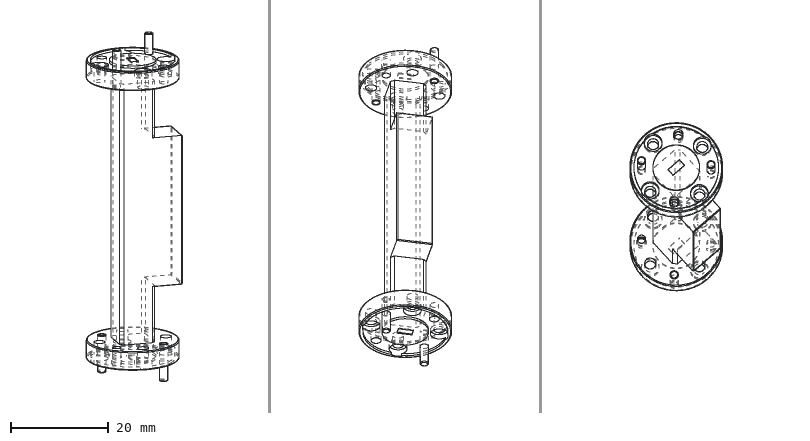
import cadquery as cq
import math

OVERALL_HEIGHT = 71.25
PIN_PROJECTION = 3.9
FLANGE_THICKNESS = 4.0
FLANGE_OUTER_Z = OVERALL_HEIGHT / 2 - PIN_PROJECTION
FLANGE_INNER_Z = FLANGE_OUTER_Z - FLANGE_THICKNESS

FLANGE_DIAMETER = 19.0
FLANGE_CHAMFER = 0.2
RIM_INNER_DIAMETER = 17.3
BOSS_DIAMETER = 9.55
FACE_RECESS_DEPTH = 0.5

HOLE_CIRCLE_RADIUS = 7.1
SCREW_HOLE_DIAMETER = 2.3
COUNTERBORE_DIAMETER = 3.6
COUNTERBORE_DEPTH = 1.6
SCREW_ANGLES = (0, 90, 180, 270)
SOCKET_DIAMETER = 2.0
SOCKET_DEPTH = FLANGE_THICKNESS / 2

PIN_DIAMETER = 1.7
PIN_CHAMFER = 0.18
PIN_LENGTH = PIN_PROJECTION + FLANGE_THICKNESS
TOP_PIN_ANGLES = (135, 315)
BOTTOM_PIN_ANGLES = (45, 225)

TUBE_WIDTH = 7.5
TUBE_CHAMFER = 0.7
BLOCK_HEIGHT = 31.6
BLOCK_REACH = FLANGE_DIAMETER / 2
BLOCK_CHAMFER = 0.18

OPENING_LENGTH = 3.1
OPENING_WIDTH = 1.6
OPENING_DEPTH = 0.2


def circle_points(angles):
    """Points on the hole circle at the given angles in degrees."""
    return [
        (
            HOLE_CIRCLE_RADIUS * math.cos(math.radians(angle)),
            HOLE_CIRCLE_RADIUS * math.sin(math.radians(angle)),
        )
        for angle in angles
    ]


def flipped(shape):
    """Mirror a shape from the top end to the bottom end."""
    return shape.mirror("XY")


def make_tube():
    """Square tube with chamfered corners, reaching from flange to flange."""
    return (
        cq.Workplane("XY")
        .box(TUBE_WIDTH, TUBE_WIDTH, 2 * FLANGE_INNER_Z)
        .edges("|Z")
        .chamfer(TUBE_CHAMFER)
    )


def make_block():
    """Block as wide as the tube, standing out at mid-height, with its +Y face chamfered."""
    return (
        cq.Workplane("XY")
        .box(TUBE_WIDTH, BLOCK_REACH, BLOCK_HEIGHT, centered=(True, False, True))
        .faces(">Y")
        .chamfer(BLOCK_CHAMFER)
    )


def cylinders(angles, diameter, bottom_z, height):
    """Equal upright cylinders on the hole circle."""
    return (
        cq.Workplane("XY")
        .workplane(offset=bottom_z)
        .pushPoints(circle_points(angles))
        .circle(diameter / 2)
        .extrude(height)
    )


def make_top_flange(pin_angles, socket_angles):
    """Round flange at the top end, with its face details and holes."""
    flange = (
        cq.Workplane("XY")
        .workplane(offset=FLANGE_INNER_Z)
        .circle(FLANGE_DIAMETER / 2)
        .extrude(FLANGE_THICKNESS)
        .edges("%CIRCLE")
        .chamfer(FLANGE_CHAMFER)
    )
    face_recess = (
        cq.Workplane("XY")
        .workplane(offset=FLANGE_OUTER_Z - FACE_RECESS_DEPTH)
        .circle(RIM_INNER_DIAMETER / 2)
        .circle(BOSS_DIAMETER / 2)
        .extrude(FACE_RECESS_DEPTH)
    )
    opening = (
        cq.Workplane("XY")
        .workplane(offset=FLANGE_OUTER_Z - OPENING_DEPTH)
        .rect(OPENING_LENGTH, OPENING_WIDTH)
        .extrude(OPENING_DEPTH)
    )
    counterbores = cylinders(
        SCREW_ANGLES, COUNTERBORE_DIAMETER, FLANGE_OUTER_Z - COUNTERBORE_DEPTH, COUNTERBORE_DEPTH
    )
    sockets = cylinders(
        socket_angles, SOCKET_DIAMETER, FLANGE_OUTER_Z - SOCKET_DEPTH, SOCKET_DEPTH
    )
    flange = flange.cut(face_recess).cut(opening).cut(counterbores).cut(sockets)
    for angles, diameter in (
        (SCREW_ANGLES, SCREW_HOLE_DIAMETER),
        (pin_angles + socket_angles, PIN_DIAMETER),
    ):
        flange = flange.cut(cylinders(angles, diameter, FLANGE_INNER_Z, FLANGE_THICKNESS))
    return flange


def make_body():
    """Tube, block and both flanges as one solid."""
    top_flange = make_top_flange(TOP_PIN_ANGLES, BOTTOM_PIN_ANGLES)
    bottom_flange = flipped(make_top_flange(BOTTOM_PIN_ANGLES, TOP_PIN_ANGLES))
    return make_tube().union(make_block()).union(top_flange).union(bottom_flange)


def make_top_pin(angle):
    """One pin, flush with the flange's inner face and chamfered at both ends."""
    pin = cylinders((angle,), PIN_DIAMETER, FLANGE_INNER_Z, PIN_LENGTH)
    return pin.edges("%CIRCLE").chamfer(PIN_CHAMFER)


body = make_body()
top_pins = [make_top_pin(angle).solids().val() for angle in TOP_PIN_ANGLES]
bottom_pins = [flipped(make_top_pin(angle)).solids().val() for angle in BOTTOM_PIN_ANGLES]

result = cq.Compound.makeCompound([body.solids().val(), *top_pins, *bottom_pins])